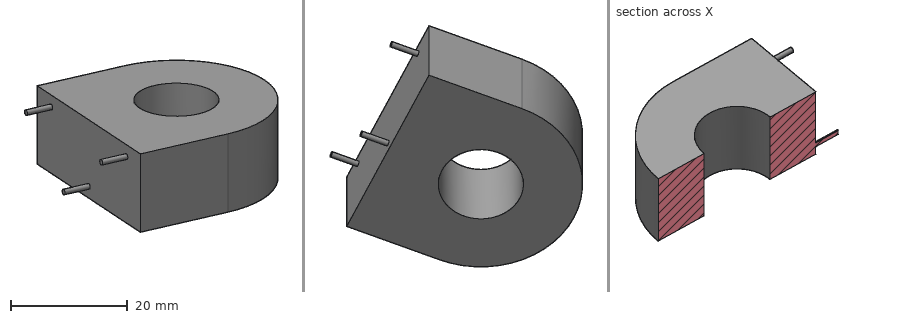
import cadquery as cq

housing_width = 34.9
housing_height = 14.6
housing_radius = housing_width / 2
hole_diameter = 14.6

pin_diameter = 1.0
pin_length = 5.0
outer_pin_offset = 12.7
pin_row_spacing = 10.16

front_face_y = -housing_radius
lower_row_z = (housing_height - pin_row_spacing) / 2
upper_row_z = lower_row_z + pin_row_spacing
pin_places = [
    (-outer_pin_offset, upper_row_z),
    (0, lower_row_z),
    (outer_pin_offset, upper_row_z),
]


def make_housing():
    """D-shaped block with a round hole through its height."""
    block = (
        cq.Workplane("XY")
        .moveTo(-housing_radius, front_face_y)
        .lineTo(housing_radius, front_face_y)
        .lineTo(housing_radius, 0)
        .threePointArc((0, housing_radius), (-housing_radius, 0))
        .close()
        .extrude(housing_height)
    )
    hole = cq.Workplane("XY").circle(hole_diameter / 2).extrude(housing_height)
    return block.cut(hole)


def make_pins():
    """Round pins pointing toward -Y from the front face."""
    return (
        cq.Workplane("XZ", origin=(0, front_face_y, 0))
        .pushPoints(pin_places)
        .circle(pin_diameter / 2)
        .extrude(pin_length)
    )


result = make_housing().union(make_pins())